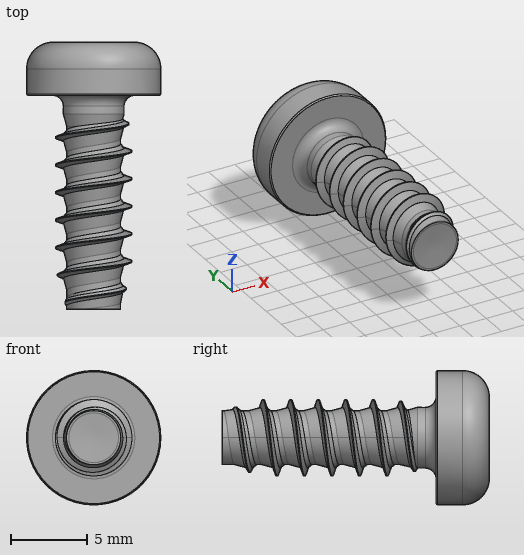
import cadquery as cq
import math

total_length = 17.49
head_diameter = 8.8
head_height = 3.5
head_rounding = 1.75
head_edge_chamfer = 0.09

neck_radius = 2.0
neck_fillet = 0.7
neck_length = 1.22
neck_taper_length = 0.8
core_radius = 1.77

tip_recess_radius = 1.63
tip_recess_depth = 0.1

pitch = 1.8
crest_radius = 2.5
crest_width = 0.07
shoulder_radius = 1.98
shoulder_half_width = 0.21
head_side_foot = 0.47
tip_side_foot = 0.98
thread_embed = 0.05
shoulder_share = 0.45
thread_start_y = -0.95
thread_turns = 7.5
start_crest_radius = 2.1
start_runout_length = 1.8
end_runout_length = 2.62
segments_per_turn = 2
samples_per_segment = 8

head_radius = head_diameter / 2
tip_y = head_height - total_length
neck_end_y = -neck_length
embedded_radius = core_radius - thread_embed


def make_blank():
    """Head, neck and core as one body of revolution about Y."""
    arc_mid = math.sqrt(0.5)
    head_round_y = head_height - head_rounding
    head_flat_radius = head_radius - head_rounding
    fillet_radius = neck_radius + neck_fillet
    profile = (
        cq.Workplane("XY")
        .moveTo(0, head_height)
        .lineTo(head_flat_radius, head_height)
        .threePointArc(
            (head_flat_radius + head_rounding * arc_mid, head_round_y + head_rounding * arc_mid),
            (head_radius, head_round_y),
        )
        .lineTo(head_radius, head_edge_chamfer)
        .lineTo(head_radius - head_edge_chamfer, 0)
        .lineTo(fillet_radius, 0)
        .threePointArc(
            (fillet_radius - neck_fillet * arc_mid, -neck_fillet + neck_fillet * arc_mid),
            (neck_radius, -neck_fillet),
        )
        .lineTo(neck_radius, neck_end_y)
        .lineTo(core_radius, neck_end_y - neck_taper_length)
        .lineTo(core_radius, tip_y)
        .lineTo(tip_recess_radius, tip_y)
        .lineTo(0, tip_y + tip_recess_depth)
        .close()
    )
    return profile.revolve(360, (0, 0, 0), (0, 1, 0))


def crest_at(y):
    """Crest radius at height y, fading out at both thread ends."""
    start_slope = (crest_radius - start_crest_radius) / start_runout_length
    end_slope = (crest_radius - core_radius) / end_runout_length
    rising = start_crest_radius + start_slope * (thread_start_y - y)
    falling = core_radius + end_slope * max(0, y - tip_y)
    return min(crest_radius, rising, falling)


def helix_edge(segment, offset, radius_limit, height_share):
    """One segment of a helix shifted along Y, held under radius_limit and a share of tooth height."""
    points = []
    for i in range(samples_per_segment + 1):
        turn = (segment + i / samples_per_segment) / segments_per_turn
        angle = 2 * math.pi * turn
        y = thread_start_y - pitch * turn
        tooth_height = crest_at(y) - embedded_radius
        radius = min(radius_limit, embedded_radius + height_share * tooth_height)
        points.append(cq.Vector(-radius * math.cos(angle), y + offset, -radius * math.sin(angle)))
    return cq.Edge.makeSpline(points)


def make_thread():
    """Closed helical body ruled between the corner edges of the thread section."""
    foot_rise = shoulder_radius - core_radius
    head_run = head_side_foot - shoulder_half_width
    tip_run = tip_side_foot - shoulder_half_width
    head_root = head_side_foot + head_run * thread_embed / foot_rise
    tip_root = tip_side_foot + tip_run * thread_embed / foot_rise
    corners = [
        (head_root, embedded_radius, 0),
        (shoulder_half_width, shoulder_radius, shoulder_share),
        (crest_width / 2, crest_radius, 1),
        (-crest_width / 2, crest_radius, 1),
        (-shoulder_half_width, shoulder_radius, shoulder_share),
        (-tip_root, embedded_radius, 0),
    ]
    segments = [
        [helix_edge(segment, *corner) for corner in corners]
        for segment in range(round(thread_turns * segments_per_turn))
    ]
    faces = []
    for edges in segments:
        for edge, neighbour in zip(edges, edges[1:] + edges[:1]):
            faces.append(cq.Face.makeRuledSurface(edge, neighbour))
    start_section = [edge.startPoint() for edge in segments[0]]
    end_section = [edge.endPoint() for edge in segments[-1]]
    for section in (start_section, end_section):
        faces.append(cq.Face.makeFromWires(cq.Wire.makePolygon(section, close=True)))
    thread = cq.Solid.makeSolid(cq.Shell.makeShell(faces))

    bounds = (
        cq.Workplane("XZ", origin=(0, neck_end_y, 0))
        .circle(head_radius)
        .extrude(neck_end_y - tip_y)
    )
    return bounds.intersect(cq.Workplane(obj=thread))


result = make_blank().union(make_thread())